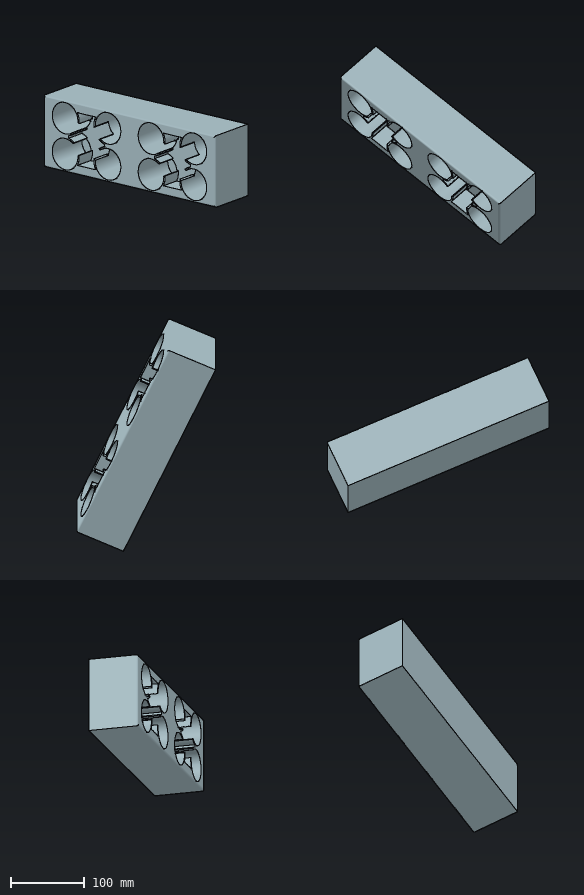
import cadquery as cq
import math

LENGTH = 298.45
DEPTH = 70.36
HEIGHT = 101.6
FRONT_EDGE_RADIUS = 2.8

CUP_COLUMNS = 4
CUP_ROWS = 2
CUP_DIAMETER = 44.45
CUP_DEPTH = 63.5
COLUMN_PITCH = LENGTH / CUP_COLUMNS
ROW_PITCH = HEIGHT / CUP_ROWS

POCKET_WIDTH = 62.0
POCKET_HEIGHT = 74.6
POCKET_DEPTH = 28.6
CUP_WALL = 2.3
GROUP_PITCH = 2 * COLUMN_PITCH
POCKET_CENTERS_X = (-GROUP_PITCH / 2, GROUP_PITCH / 2)

SLOT_ANGLE = 39.5
SLOT_WIDTH = 17.78
SLOT_LENGTH = math.hypot(COLUMN_PITCH, ROW_PITCH)


def front_plane():
    """Sketch plane on the front face: local x is +X, local y is +Z, normal is -Y."""
    return cq.Workplane("XZ", origin=(0, -DEPTH / 2, 0))


def block():
    """The plain block with its four front edges rounded."""
    body = cq.Workplane("XY").box(LENGTH, DEPTH, HEIGHT)
    return body.faces("<Y").edges().fillet(FRONT_EDGE_RADIUS)


def cups(diameter, depth):
    """Cylinders at every cup position, running inward from the front face."""
    grid = front_plane().rarray(COLUMN_PITCH, ROW_PITCH, CUP_COLUMNS, CUP_ROWS)
    return grid.circle(diameter / 2).extrude(-depth)


def pocket_rectangles():
    """One rectangular cutter at each pocket center."""
    centers = front_plane().pushPoints([(x, 0) for x in POCKET_CENTERS_X])
    return centers.rect(POCKET_WIDTH, POCKET_HEIGHT).extrude(-POCKET_DEPTH)


def crossed_slots(center_x):
    """A pair of slots that cross at a pocket center, tilted either way from horizontal."""
    slot = front_plane().center(center_x, 0).rect(SLOT_LENGTH, SLOT_WIDTH).extrude(-POCKET_DEPTH)
    axis_start = (center_x, 0, 0)
    axis_end = (center_x, 1, 0)
    rising = slot.rotate(axis_start, axis_end, -SLOT_ANGLE)
    falling = slot.rotate(axis_start, axis_end, SLOT_ANGLE)
    return rising.union(falling)


def finger_pockets():
    """Pockets that leave a thin wall around each cup, broken through by the crossed slots."""
    cup_walls = cups(CUP_DIAMETER + 2 * CUP_WALL, POCKET_DEPTH)
    pockets = pocket_rectangles().cut(cup_walls)
    for center_x in POCKET_CENTERS_X:
        pockets = pockets.union(crossed_slots(center_x))
    return pockets


result = block().cut(finger_pockets()).cut(cups(CUP_DIAMETER, CUP_DEPTH))